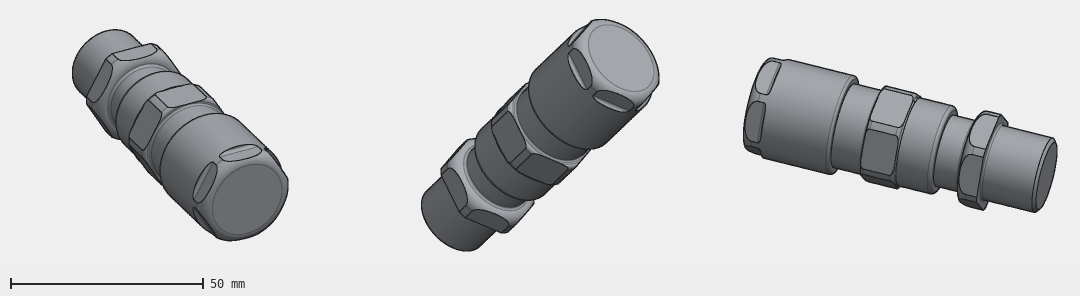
import cadquery as cq


ACROSS_FLATS = 24.0
OUTER_RADIUS = 26.5 / 2
HEX_END_RADIUS = 3.0

ENTRY_RADIUS = 20.0 / 2
ENTRY_TIP_RADIUS = 18.0 / 2
ENTRY_CHAMFER = 0.8
ENTRY_FILLET = 0.5
ADAPTER_HEX_START = 14.85
ADAPTER_HEX_END = 21.0
NECK_RADIUS = 19.15 / 2
NECK_FILLET = 0.6

MIDDLE_START = 27.8
SLEEVE_RADIUS = 23.7 / 2
SLEEVE_ROUNDING = 1.0
MIDDLE_HEX_START = 37.8
MIDDLE_HEX_END = 47.0
MIDDLE_HEX_ROUNDING = 1.0
SPIGOT_RADIUS = 22.6 / 2
SPIGOT_FILLET = 0.5

CAP_START = 55.3
CAP_END = 79.45
CAP_ROUNDING = 0.8
WRENCH_START = 74.0
WRENCH_FILLET = 0.9


def cut_hexagon(body, start, end, run_out=0):
    """Mill six flats from start to end, two of them facing +Z and -Z.

    A run_out above zero rounds the start of each flat with that radius.
    """
    cutter = cq.Workplane("XY").box(
        end - start, 2 * OUTER_RADIUS, OUTER_RADIUS, centered=(False, True, False)
    )
    if run_out > 0:
        cutter = cutter.edges("<X and <Z").fillet(run_out)
    cutter = cutter.translate((start, 0, ACROSS_FLATS / 2))
    for i in range(6):
        body = body.cut(cutter.rotate((0, 0, 0), (1, 0, 0), 60 * i))
    return body


def turn(profile):
    """Close a half profile drawn from the axis in XY (X along, Y outward) and revolve it."""
    return profile.close().revolve(360, (0, 0, 0), (1, 0, 0))


def make_adapter():
    profile = (
        cq.Workplane("XY")
        .lineTo(0, ENTRY_TIP_RADIUS)
        .lineTo(ENTRY_CHAMFER, ENTRY_RADIUS)
        .lineTo(ADAPTER_HEX_START - ENTRY_FILLET, ENTRY_RADIUS)
        .tangentArcPoint((ADAPTER_HEX_START, ENTRY_RADIUS + ENTRY_FILLET), relative=False)
        .lineTo(ADAPTER_HEX_START, OUTER_RADIUS)
        .lineTo(ADAPTER_HEX_END - HEX_END_RADIUS, OUTER_RADIUS)
        .tangentArcPoint((ADAPTER_HEX_END, OUTER_RADIUS - HEX_END_RADIUS), relative=False)
        .lineTo(ADAPTER_HEX_END, NECK_RADIUS + NECK_FILLET)
        .tangentArcPoint((ADAPTER_HEX_END + NECK_FILLET, NECK_RADIUS), relative=False)
        .lineTo(MIDDLE_START, NECK_RADIUS)
        .lineTo(MIDDLE_START, 0)
    )
    return cut_hexagon(turn(profile), ADAPTER_HEX_START, ADAPTER_HEX_END)


def make_middle_body():
    hex_shoulder = OUTER_RADIUS - MIDDLE_HEX_ROUNDING
    sleeve_fillet = hex_shoulder - SLEEVE_RADIUS
    profile = (
        cq.Workplane("XY")
        .moveTo(MIDDLE_START, 0)
        .lineTo(MIDDLE_START, SLEEVE_RADIUS - SLEEVE_ROUNDING)
        .tangentArcPoint((MIDDLE_START + SLEEVE_ROUNDING, SLEEVE_RADIUS), relative=False)
        .lineTo(MIDDLE_HEX_START - sleeve_fillet, SLEEVE_RADIUS)
        .tangentArcPoint((MIDDLE_HEX_START, SLEEVE_RADIUS + sleeve_fillet), relative=False)
        .tangentArcPoint((MIDDLE_HEX_START + MIDDLE_HEX_ROUNDING, OUTER_RADIUS), relative=False)
        .lineTo(MIDDLE_HEX_END - MIDDLE_HEX_ROUNDING, OUTER_RADIUS)
        .tangentArcPoint((MIDDLE_HEX_END, hex_shoulder), relative=False)
        .lineTo(MIDDLE_HEX_END, SPIGOT_RADIUS + SPIGOT_FILLET)
        .tangentArcPoint((MIDDLE_HEX_END + SPIGOT_FILLET, SPIGOT_RADIUS), relative=False)
        .lineTo(CAP_START, SPIGOT_RADIUS)
        .lineTo(CAP_START, 0)
    )
    return cut_hexagon(turn(profile), MIDDLE_HEX_START, MIDDLE_HEX_END)


def make_cap_nut():
    profile = (
        cq.Workplane("XY")
        .moveTo(CAP_START, 0)
        .lineTo(CAP_START, OUTER_RADIUS - CAP_ROUNDING)
        .tangentArcPoint((CAP_START + CAP_ROUNDING, OUTER_RADIUS), relative=False)
        .lineTo(CAP_END - HEX_END_RADIUS, OUTER_RADIUS)
        .tangentArcPoint((CAP_END, OUTER_RADIUS - HEX_END_RADIUS), relative=False)
        .lineTo(CAP_END, 0)
    )
    return cut_hexagon(turn(profile), WRENCH_START, CAP_END, run_out=WRENCH_FILLET)


adapter = make_adapter()
middle_body = make_middle_body()
cap_nut = make_cap_nut()

result = cq.Compound.makeCompound([adapter.val(), middle_body.val(), cap_nut.val()])